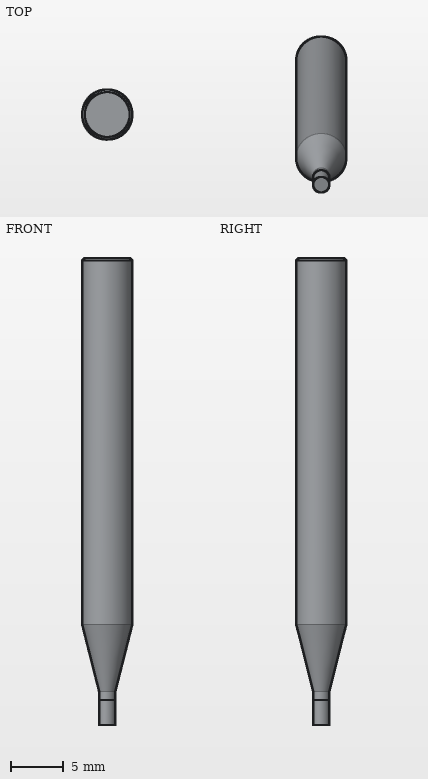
import cadquery as cq

total_length = 44.4
shank_diameter = 4.8
tip_diameter = 1.55

tip_length = 2.4
neck_length = 0.8
taper_length = 6.4
top_chamfer = 0.25

taper_start = tip_length + neck_length
shank_start = taper_start + taper_length
shank_radius = shank_diameter / 2
tip_radius = tip_diameter / 2


def make_tip():
    """Plain cylindrical cutting tip below the neck."""
    return cq.Workplane("XY").circle(tip_radius).extrude(tip_length)


def make_shank():
    """Revolved neck, taper and shank, with a chamfered top edge."""
    profile = (
        cq.Workplane("XZ")
        .moveTo(0, tip_length)
        .lineTo(tip_radius, tip_length)
        .lineTo(tip_radius, taper_start)
        .lineTo(shank_radius, shank_start)
        .lineTo(shank_radius, total_length)
        .lineTo(0, total_length)
        .close()
    )
    body = profile.revolve(360, (0, 0, 0), (0, 1, 0))
    return body.faces(">Z").edges().chamfer(top_chamfer)


tip = make_tip()
shank = make_shank()

result = cq.Compound.makeCompound([shank.val(), tip.val()])